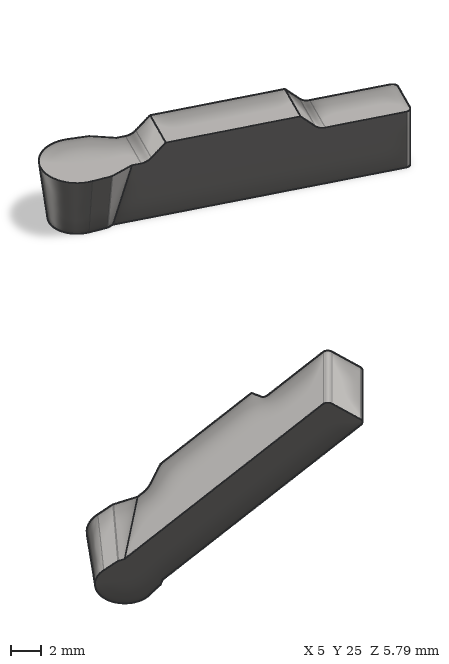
import cadquery as cq
import math

nose_radius = 2.5
overall_length = 25.04
ledge_height = 4.5
overall_height = 5.79
shank_width = 3.24
tail_corner_radius = 0.4

relief_angle = 7.0
flank_angle = 5.0
flank_end_y = 1.63
neck_angle = 24.7
neck_corner_radius = 0.2

rib_front_y = 5.58
rib_rear_y = 14.86
ramp_angle = 45.0
ramp_root_radius = 1.0

tail_y = overall_length - nose_radius
rib_rise = overall_height - ledge_height
ramp_run = rib_rise / math.tan(math.radians(ramp_angle))
shank_half_width = shank_width / 2


def make_shank():
    """Bar with a ramped rib on top, starting inside the head."""
    ramp_foot_front = rib_front_y - ramp_run
    ramp_foot_rear = rib_rear_y + ramp_run
    shank = (
        cq.Workplane("YZ")
        .moveTo(0, 0)
        .lineTo(tail_y, 0)
        .lineTo(tail_y, ledge_height)
        .lineTo(ramp_foot_rear, ledge_height)
        .lineTo(rib_rear_y, overall_height)
        .lineTo(rib_front_y, overall_height)
        .lineTo(ramp_foot_front, ledge_height)
        .lineTo(0, ledge_height)
        .close()
        .extrude(shank_half_width, both=True)
    )
    for foot_y in (ramp_foot_front, ramp_foot_rear):
        foot_edge = cq.selectors.NearestToPointSelector((0, foot_y, ledge_height))
        shank = shank.edges("|X").edges(foot_edge).fillet(ramp_root_radius)
    return shank.edges("|Z and >Y").fillet(tail_corner_radius)


def make_head():
    """Cutting head, relieved inwards all round from its top face to the underside."""
    flank = math.radians(flank_angle)
    tangent_x = nose_radius * math.cos(flank)
    tangent_y = nose_radius * math.sin(flank)
    flank_end_x = tangent_x - (flank_end_y - tangent_y) * math.tan(flank)

    back_x = shank_half_width / 2
    back_y = flank_end_y + (flank_end_x - back_x) / math.tan(math.radians(neck_angle))

    head = (
        cq.Workplane("XY", origin=(0, 0, ledge_height))
        .moveTo(-tangent_x, tangent_y)
        .threePointArc((0, -nose_radius), (tangent_x, tangent_y))
        .lineTo(flank_end_x, flank_end_y)
        .lineTo(back_x, back_y)
        .lineTo(-back_x, back_y)
        .lineTo(-flank_end_x, flank_end_y)
        .close()
        .extrude(-ledge_height, taper=relief_angle)
    )
    underside_inset = ledge_height * math.tan(math.radians(relief_angle))
    for side in (-1, 1):
        corner = (side * (flank_end_x - underside_inset / 2), flank_end_y, ledge_height / 2)
        corner_edge = cq.selectors.NearestToPointSelector(corner)
        head = head.edges(corner_edge).fillet(neck_corner_radius)
    return head


result = make_shank().union(make_head()).clean()